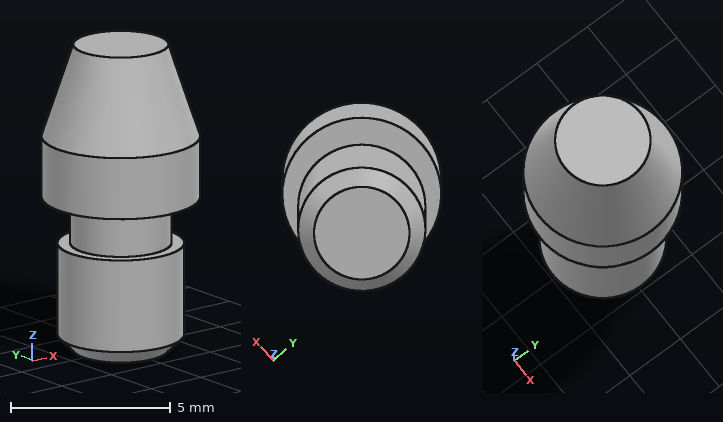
import cadquery as cq

head_diameter = 5
tip_diameter = 3
neck_diameter = 3.2
shank_diameter = 4

shank_height = 3.5
neck_height = 1.5
collar_height = 2
taper_height = 3
shank_chamfer = 0.5


def cylinder(diameter, base_z, height):
    """Round section on the Z axis, standing on base_z."""
    return cq.Workplane("XY").workplane(offset=base_z).circle(diameter / 2).extrude(height)


collar_base = shank_height + neck_height
taper_base = collar_base + collar_height

shank = cylinder(shank_diameter, 0, shank_height).faces("<Z").edges().chamfer(shank_chamfer)

neck = cylinder(neck_diameter, shank_height, neck_height)

collar = cylinder(head_diameter, collar_base, collar_height)
taper = cq.Workplane("XY").add(
    cq.Solid.makeCone(head_diameter / 2, tip_diameter / 2, taper_height, pnt=cq.Vector(0, 0, taper_base))
)

result = shank.union(neck).union(collar).union(taper)